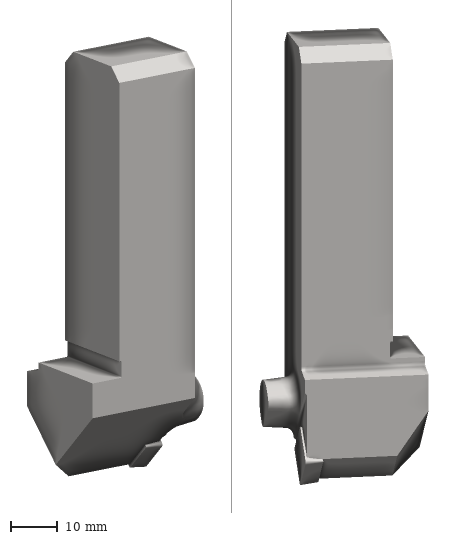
import cadquery as cq
import math

overall_height = 96.3
overall_width = 24.9

insert_side = 9.5
insert_thickness = 3.95
insert_relief = 7.0
nose_radius = 0.8
nose_reach = insert_side / math.sqrt(2) - nose_radius * (math.sqrt(2) - 1)

shank_size = 19.9
shank_chamfer = 3.0
right_x = overall_width - nose_reach
top_z = overall_height - nose_reach
shank_left_x = right_x - shank_size

head_depth = 27.0
head_left_x = -5.7
shoulder_z = 18.1
shoulder_slope = 15.0
shoulder_fillet = 1.0
tip_z = -5.2
nose_chamfer = 6.8

groove_bottom_z = 21.0
groove_height = 3.8
groove_depth = 0.6
groove_fillet = 0.3

nozzle_x = 7.3
nozzle_z = 10.0
nozzle_height = 6.55
nozzle_radius = 5.8
nozzle_straight = 1.35
nozzle_corner_radius = 2.8
nozzle_taper = 5.0
nozzle_foot_fillet = 1.7
insert_direction = 225.0
foot_reach = nozzle_radius + nozzle_straight
foot_plate_size = 38.5
foot_plate_thickness = 3.9
foot_tolerance = 0.1

recess_depth = 0.43
recess_distance = 5.5
recess_run = 0.4
recess_reach = 48.2


def make_insert():
    outline = cq.Sketch().rect(insert_side, insert_side, angle=45).vertices().fillet(nose_radius)
    return cq.Workplane("XZ").placeSketch(outline).extrude(insert_thickness, taper=insert_relief)


def make_profile(depth):
    """Shank and head outline, carried from the rear face by the given depth toward -Y."""
    shoulder_rise = (shank_left_x - head_left_x) * math.tan(math.radians(shoulder_slope))
    shoulder_corner_z = shoulder_z + shoulder_rise
    profile = (
        cq.Workplane("XZ")
        .moveTo(0, tip_z)
        .lineTo(right_x, tip_z + right_x)
        .lineTo(right_x, top_z - shank_chamfer)
        .lineTo(right_x - shank_chamfer, top_z)
        .lineTo(shank_left_x + shank_chamfer, top_z)
        .lineTo(shank_left_x, top_z - shank_chamfer)
        .lineTo(shank_left_x, shoulder_corner_z)
        .lineTo(head_left_x, shoulder_z)
        .lineTo(head_left_x, tip_z - head_left_x)
        .close()
        .extrude(depth)
    )
    corner = cq.NearestToPointSelector((shank_left_x, -depth / 2, shoulder_corner_z))
    return profile.edges(corner).fillet(shoulder_fillet)


def make_shank_front_cut():
    """Material in front of the shank, with the groove at its foot."""
    groove_y = -shank_size + groove_depth
    groove_top_z = groove_bottom_z + groove_height
    cut = (
        cq.Workplane("YZ", origin=(shank_left_x, 0, 0))
        .moveTo(-head_depth, groove_bottom_z)
        .lineTo(groove_y, groove_bottom_z)
        .lineTo(groove_y, groove_top_z)
        .lineTo(-shank_size, groove_top_z)
        .lineTo(-shank_size, top_z)
        .lineTo(-head_depth, top_z)
        .close()
        .extrude(shank_size)
    )
    mid_x = shank_left_x + shank_size / 2
    for corner_z in (groove_bottom_z, groove_top_z):
        corner = cq.NearestToPointSelector((mid_x, groove_y, corner_z))
        cut = cut.edges(corner).fillet(groove_fillet)
    return cut


def make_nose_chamfer_cut():
    """45 degree chamfer along the front edge of the lower left flank."""
    flank = cq.Plane(origin=(0, -head_depth, tip_z), xDir=(1, 0, 1), normal=(-1, 0, 1))
    return (
        cq.Workplane(flank)
        .polyline([(0, 0), (nose_chamfer, 0), (0, nose_chamfer)])
        .close()
        .extrude(overall_height, both=True)
    )


def make_nozzle():
    """Tapered nozzle in its own frame: local x points at the insert, local z along +Y."""
    flat_x = nozzle_straight + nozzle_corner_radius
    flat_half = nozzle_radius - nozzle_corner_radius
    bend = nozzle_corner_radius * math.sqrt(0.5)
    bend_x = nozzle_straight + bend
    bend_y = flat_half + bend
    angle = math.radians(insert_direction)
    frame = cq.Plane(
        origin=(nozzle_x, 0, nozzle_z),
        xDir=(math.cos(angle), 0, math.sin(angle)),
        normal=(0, 1, 0),
    )
    return (
        cq.Workplane(frame)
        .moveTo(0, nozzle_radius)
        .lineTo(nozzle_straight, nozzle_radius)
        .threePointArc((bend_x, bend_y), (flat_x, flat_half))
        .lineTo(flat_x, -flat_half)
        .threePointArc((bend_x, -bend_y), (nozzle_straight, -nozzle_radius))
        .lineTo(0, -nozzle_radius)
        .threePointArc((-nozzle_radius, 0), (0, nozzle_radius))
        .close()
        .extrude(nozzle_height, taper=nozzle_taper)
    )


def make_nozzle_with_foot():
    """Nozzle with a filleted foot, trimmed to the head's outline and kept only behind Y = 0."""
    base = cq.Workplane("XZ").center(nozzle_x, nozzle_z).rect(foot_plate_size, foot_plate_size)
    plate = base.extrude(foot_plate_thickness)
    foot = cq.selectors.BoxSelector(
        (nozzle_x - foot_reach, -foot_tolerance, nozzle_z - foot_reach),
        (nozzle_x + foot_reach, foot_tolerance, nozzle_z + foot_reach),
    )
    filleted = plate.union(make_nozzle()).edges(foot).fillet(nozzle_foot_fillet)
    return filleted.intersect(make_profile(-nozzle_height))


def make_recess_cut():
    """Recess across the lower left of the rear face, with a sloped end wall beside the nozzle."""
    frame = cq.Plane(origin=(nozzle_x, 0, nozzle_z), xDir=(-1, 0, -1), normal=(1, 0, -1))
    return (
        cq.Workplane(frame)
        .polyline(
            [
                (recess_distance, 0),
                (recess_distance + recess_run, -recess_depth),
                (recess_reach, -recess_depth),
                (recess_reach, 0),
            ]
        )
        .close()
        .extrude(recess_reach, both=True)
    )


insert = make_insert()

holder = make_profile(head_depth).cut(make_shank_front_cut()).cut(make_nose_chamfer_cut())
holder = holder.union(make_nozzle_with_foot()).cut(make_recess_cut()).cut(insert)

result = cq.Compound.makeCompound([holder.val(), insert.val()])